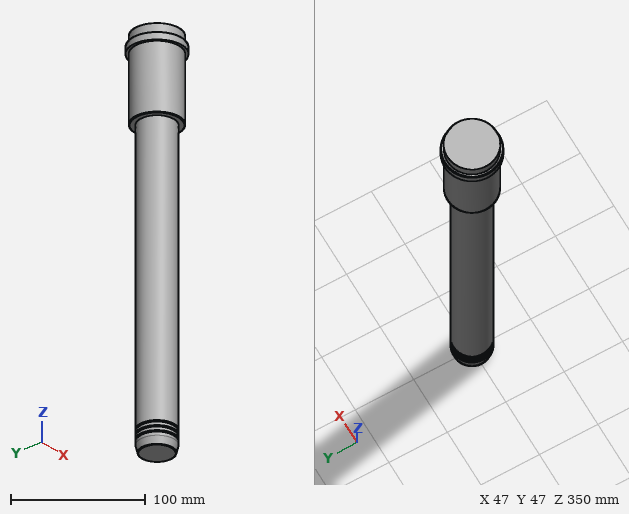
import cadquery as cq

total_length = 350.0
shaft_diameter = 32.2
head_diameter = 42.0
head_length = 75.0
head_edge_chamfer = 0.7

collar_diameter = 47.0
collar_top_depth = 8.5
collar_bottom_depth = 15.0
collar_chamfer = 0.7

taper_height = 7.0
tip_diameter = 28.7
tip_chamfer = 0.52

groove_count = 3
groove_pitch = 4.2
groove_width = 1.0
groove_depth = 0.7
lowest_groove_z = 10.0


def cylinder(diameter, bottom, top):
    return cq.Workplane("XY").workplane(offset=bottom).circle(diameter / 2).extrude(top - bottom)


def make_tip():
    """Cone that narrows downward, with a small chamfer on its end."""
    cone = (
        cq.Workplane("XY")
        .circle(tip_diameter / 2)
        .workplane(offset=taper_height)
        .circle(shaft_diameter / 2)
        .loft(ruled=True)
    )
    return cone.faces("<Z").edges().chamfer(tip_chamfer)


def make_groove(bottom):
    """Ring of material to remove from the shaft."""
    top = bottom + groove_width
    outer = cylinder(shaft_diameter + groove_depth, bottom, top)
    core = cylinder(shaft_diameter - 2 * groove_depth, bottom, top)
    return outer.cut(core)


shaft = cylinder(shaft_diameter, taper_height, total_length)
head = cylinder(head_diameter, total_length - head_length, total_length)
head = head.faces("<Z").edges().chamfer(head_edge_chamfer)
collar = cylinder(collar_diameter, total_length - collar_bottom_depth, total_length - collar_top_depth)
collar = collar.faces(">Z").edges().chamfer(collar_chamfer)

result = make_tip().union(shaft).union(head).union(collar)
for index in range(groove_count):
    result = result.cut(make_groove(lowest_groove_z + index * groove_pitch))